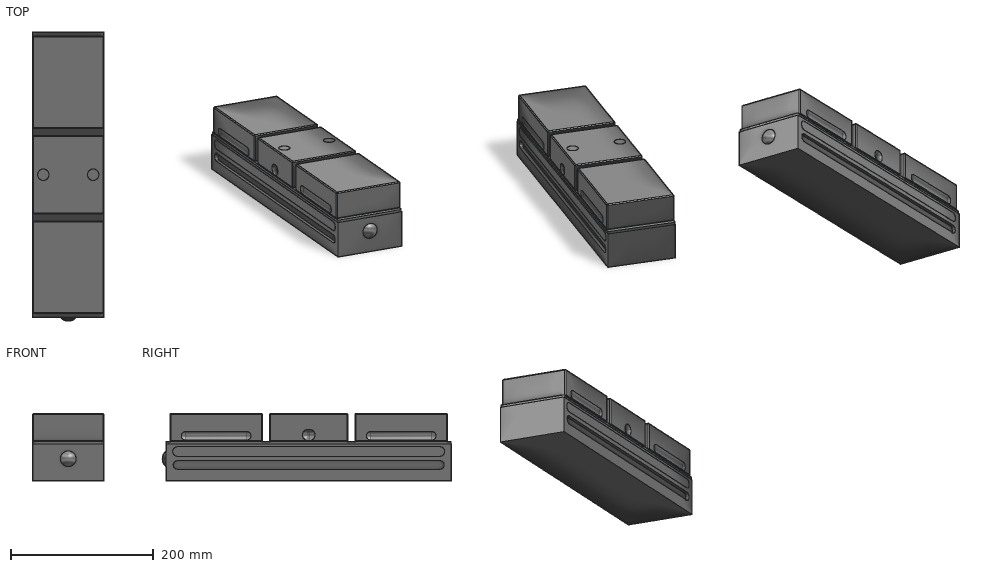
import cadquery as cq
import math

WIDTH = 99.96
BASE_LENGTH = 400.0
BASE_HEIGHT = 55.0
DECK_HEIGHT = 3.5
DECK_INSET = 0.1
DECK_CORNER_RADIUS = 3.0

SLOT_STRAIGHT = 368.0
LABEL_SLOT_WIDTH = 13.5
LABEL_SLOT_DEPTH = 0.2
LABEL_SLOT_Z = 41.2
CLAMP_SLOT_WIDTH = 12.0
CLAMP_SLOT_DEPTH = 5.0
CLAMP_SLOT_Z = 22.3

TOTAL_HEIGHT = 94.7
JAW_HEIGHT = TOTAL_HEIGHT - BASE_HEIGHT
JAW_GAP = 9.8
CENTER_JAW_LENGTH = 110.0
OUTER_JAW_LENGTH = 130.0
OUTER_JAW_OFFSET = CENTER_JAW_LENGTH / 2 + JAW_GAP + OUTER_JAW_LENGTH / 2
JAW_CHAMFER = 1.5

OUTER_POCKET_WIDTH = 12.0
OUTER_POCKET_ARC_RADIUS = 12.0
OUTER_POCKET_STRAIGHT = 85.6
OUTER_POCKET_Z = 63.2
CENTER_POCKET_WIDTH = 15.6
CENTER_POCKET_ARC_RADIUS = 11.0
CENTER_POCKET_STRAIGHT = 2.0
CENTER_POCKET_Z = 64.4

RECESS_DIAMETER = 16.0
RECESS_SPACING = 70.0
RECESS_DEPTH = 0.2

HEAD_DIAMETER = 22.0
HEAD_HEIGHT = 5.42
HEAD_Z = 31.0


def side_slot(side, width, depth, z):
    """Flat-bottomed slot with round ends, cut into the long side at X = side * WIDTH / 2."""
    return (
        cq.Workplane("YZ", origin=(side * (WIDTH / 2 - depth), 0, z))
        .slot2D(SLOT_STRAIGHT + width, width)
        .extrude(side * depth)
    )


def make_base():
    block_height = BASE_HEIGHT - DECK_HEIGHT
    base = cq.Workplane("XY").box(WIDTH, BASE_LENGTH, block_height, centered=(True, True, False))
    deck = (
        cq.Workplane("XY", origin=(0, 0, block_height))
        .rect(WIDTH - 2 * DECK_INSET, BASE_LENGTH - 2 * DECK_INSET)
        .extrude(DECK_HEIGHT)
        .edges("|Z")
        .fillet(DECK_CORNER_RADIUS)
    )
    base = base.union(deck)
    for side in (-1, 1):
        base = base.cut(side_slot(side, LABEL_SLOT_WIDTH, LABEL_SLOT_DEPTH, LABEL_SLOT_Z))
        base = base.cut(side_slot(side, CLAMP_SLOT_WIDTH, CLAMP_SLOT_DEPTH, CLAMP_SLOT_Z))
    return base


def grip_pocket(side, y, z, width, straight, arc_radius):
    """Shallow groove along Y with an arc section, closed at each end by a spherical cap."""
    sagitta = arc_radius - math.sqrt(arc_radius**2 - (width / 2) ** 2)
    x = side * (WIDTH / 2 - sagitta + arc_radius)
    pocket = (
        cq.Workplane("XZ", origin=(x, y + straight / 2, z))
        .circle(arc_radius)
        .extrude(straight)
    )
    for end in (-1, 1):
        ball = cq.Workplane("XY", origin=(x, y + end * straight / 2, z)).sphere(arc_radius)
        pocket = pocket.union(ball)
    return pocket


def make_jaw(y, length, pocket_z, pocket_width, pocket_straight, arc_radius):
    jaw = (
        cq.Workplane("XY", origin=(0, y, BASE_HEIGHT))
        .box(WIDTH, length, JAW_HEIGHT, centered=(True, True, False))
        .edges()
        .chamfer(JAW_CHAMFER)
    )
    for side in (-1, 1):
        jaw = jaw.cut(grip_pocket(side, y, pocket_z, pocket_width, pocket_straight, arc_radius))
    return jaw


def make_outer_jaw(end):
    return make_jaw(
        end * OUTER_JAW_OFFSET,
        OUTER_JAW_LENGTH,
        OUTER_POCKET_Z,
        OUTER_POCKET_WIDTH,
        OUTER_POCKET_STRAIGHT,
        OUTER_POCKET_ARC_RADIUS,
    )


def make_center_jaw():
    jaw = make_jaw(
        0,
        CENTER_JAW_LENGTH,
        CENTER_POCKET_Z,
        CENTER_POCKET_WIDTH,
        CENTER_POCKET_STRAIGHT,
        CENTER_POCKET_ARC_RADIUS,
    )
    recesses = (
        cq.Workplane("XY", origin=(0, 0, TOTAL_HEIGHT - RECESS_DEPTH))
        .pushPoints([(-RECESS_SPACING / 2, 0), (RECESS_SPACING / 2, 0)])
        .circle(RECESS_DIAMETER / 2)
        .extrude(RECESS_DEPTH)
    )
    return jaw.cut(recesses)


def make_screw_head():
    """Spherical cap seated flat on the end face of the base."""
    radius = HEAD_DIAMETER / 2
    sphere_radius = (radius**2 + HEAD_HEIGHT**2) / (2 * HEAD_HEIGHT)
    face_y = -BASE_LENGTH / 2
    center_y = face_y - HEAD_HEIGHT + sphere_radius
    sphere = cq.Workplane("XZ", origin=(0, center_y, HEAD_Z)).sphere(sphere_radius)
    outer_space = (
        cq.Workplane("XZ", origin=(0, face_y, HEAD_Z))
        .rect(2 * HEAD_DIAMETER, 2 * HEAD_DIAMETER)
        .extrude(2 * HEAD_HEIGHT)
    )
    return sphere.intersect(outer_space)


base = make_base()
center_jaw = make_center_jaw()
outer_jaws = [make_outer_jaw(end) for end in (-1, 1)]
screw_head = make_screw_head()

bodies = [base, center_jaw, *outer_jaws, screw_head]
result = cq.Compound.makeCompound([body.solids().val() for body in bodies])